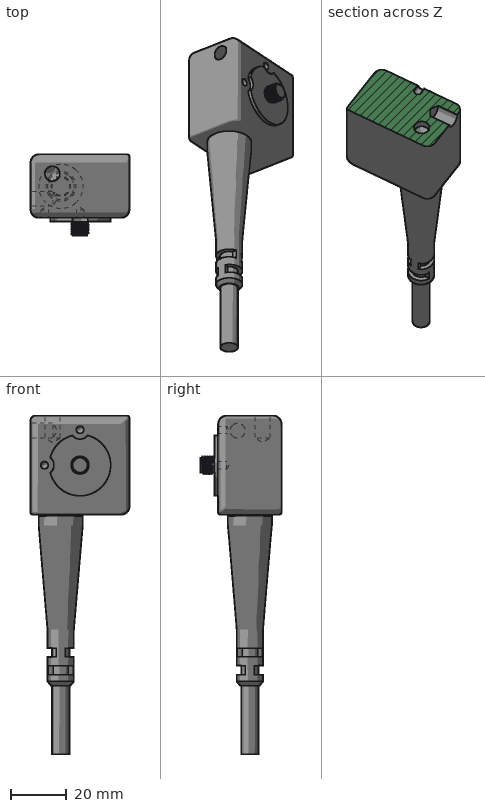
import cadquery as cq
import math


HOUSING_SIDE = 35.56
HOUSING_DEPTH = 22.86
LARGE_ROUND = 3.175
LEFT_TOP_ROUND = 1.905
SMALL_ROUND = 1.016
HALF_SIDE = HOUSING_SIDE / 2

DISC_DIAMETER = 22.0
DISC_THICKNESS = 1.27
STUD_REACH = 6.35
STUD_DIAMETER = 6.35
THREAD_ROOT_DIAMETER = 5.36
THREAD_PITCH = 25.4 / 28
THREAD_FOOT_WIDTH = 0.96 * THREAD_PITCH
THREAD_CREST_WIDTH = THREAD_PITCH / 8
THREAD_SINK = 0.05
THREAD_START_ANGLE = 20.0

DRILL_POINT_ANGLE = 118.0
SPOT_DIAMETER = 2.64
SPOT_OFFSET = 12.7
SPOT_DEPTH = 3.0
SPOT_CENTRES = [(0, SPOT_OFFSET), (-SPOT_OFFSET, 0)]
SPOT_CLEARANCE_DIAMETER = 6.76
SIDE_HOLE_DIAMETER = 5.36
SIDE_HOLE_DEPTH = 8.0
SIDE_HOLE_INSET = 6.985
LEFT_HOLE_DROP = 5.334
TOP_HOLE_INSET = 7.874

CABLE_X = -6.92
CABLE_Y = HOUSING_DEPTH / 2
CABLE_DIAMETER = 6.35
CABLE_DROP = 85.85
PLUG_DIAMETER = 10.67
PLUG_LENGTH = 0.381
BOOT_TOP_DIAMETER = 15.88
BOOT_NECK_DIAMETER = 9.53
BOOT_LENGTH = 60.833
BOOT_COLLAR_LENGTH = 3.429
BOOT_TAPER_END = 40.767
BOOT_END_BEVEL_HEIGHT = 1.524
BOOT_END_BEVEL_WIDTH = 1.27
SLOT_HEIGHT = 3.175
UPPER_SLOT_TOP = 47.371
SLOT_SPACING = 6.35
BRIDGE_WIDTH = 3.175


def edge_where(x=None, y=None, z=None):
    """Selector for the edges centred on every plane that is given."""
    tolerance = 0.01
    middle = (x, y, z)
    low = [-HOUSING_SIDE if v is None else v - tolerance for v in middle]
    high = [HOUSING_SIDE if v is None else v + tolerance for v in middle]
    return cq.selectors.BoxSelector(low, high)


def rounded_block():
    left, right = -HALF_SIDE, HALF_SIDE
    bottom, top = -HALF_SIDE, HALF_SIDE
    front, back = 0, HOUSING_DEPTH
    block = cq.Workplane("XY").box(HOUSING_SIDE, HOUSING_DEPTH, HOUSING_SIDE)
    block = block.translate((0, HOUSING_DEPTH / 2, 0))
    large_edges = (
        edge_where(x=left, y=front)
        + edge_where(x=left, y=back)
        + edge_where(x=right, y=front)
        + edge_where(y=front, z=top)
        + edge_where(y=back, z=top)
        + edge_where(x=right, z=bottom)
    )
    block = block.edges(large_edges).fillet(LARGE_ROUND)
    block = block.edges(edge_where(x=left, z=top)).fillet(LEFT_TOP_ROUND)
    small_edges = edge_where(x=right, z=top) + edge_where(x=right, y=back)
    return block.edges(small_edges).fillet(SMALL_ROUND)


def drill(radius, depth):
    """Drilled hole along +Z from the origin, with a conical end below the full-width depth."""
    point = radius / math.tan(math.radians(DRILL_POINT_ANGLE / 2))
    outline = [(0, 0), (radius, 0), (radius, depth), (0, depth + point)]
    return cq.Workplane("XZ").polyline(outline).close().revolve(360, (0, 0), (0, 1))


def side_holes():
    tool = drill(SIDE_HOLE_DIAMETER / 2, SIDE_HOLE_DEPTH)
    left_hole = tool.rotate((0, 0, 0), (0, 1, 0), 90).translate(
        (-HALF_SIDE, SIDE_HOLE_INSET, HALF_SIDE - LEFT_HOLE_DROP)
    )
    top_hole = tool.rotate((0, 0, 0), (1, 0, 0), 180).translate(
        (-HALF_SIDE + TOP_HOLE_INSET, HOUSING_DEPTH - SIDE_HOLE_INSET, HALF_SIDE)
    )
    return left_hole.union(top_hole)


def spot_holes():
    tool = drill(SPOT_DIAMETER / 2, SPOT_DEPTH).rotate((0, 0, 0), (1, 0, 0), -90)
    holes = cq.Workplane("XY")
    for x, z in SPOT_CENTRES:
        holes = holes.union(tool.translate((x, 0, z)))
    return holes


def front_disc():
    """Disc relieved around each spot hole."""
    disc = cq.Workplane("XZ").circle(DISC_DIAMETER / 2).extrude(DISC_THICKNESS)
    relief = (
        cq.Workplane("XZ")
        .pushPoints(SPOT_CENTRES)
        .circle(SPOT_CLEARANCE_DIAMETER / 2)
        .extrude(DISC_THICKNESS)
    )
    return disc.cut(relief)


def threaded_stud():
    """Stud along -Y: a plain core with a helical ridge wound round it."""
    crest = STUD_DIAMETER / 2
    root = THREAD_ROOT_DIAMETER / 2
    length = STUD_REACH - DISC_THICKNESS
    core = cq.Workplane("XY").circle(root).extrude(length)
    foot = root - THREAD_SINK
    ridge_outline = [
        (foot, -THREAD_FOOT_WIDTH / 2),
        (crest, -THREAD_CREST_WIDTH / 2),
        (crest, THREAD_CREST_WIDTH / 2),
        (foot, THREAD_FOOT_WIDTH / 2),
    ]
    helix = cq.Wire.makeHelix(THREAD_PITCH, length - THREAD_PITCH, root)
    ridge = (
        cq.Workplane("XZ")
        .polyline(ridge_outline)
        .close()
        .sweep(cq.Workplane(obj=helix), isFrenet=True)
        .translate((0, 0, THREAD_PITCH / 2))
        .rotate((0, 0, 0), (0, 0, 1), THREAD_START_ANGLE)
    )
    stud = core.union(ridge)
    return stud.rotate((0, 0, 0), (1, 0, 0), 90).translate((0, -DISC_THICKNESS, 0))


def make_housing():
    body = rounded_block().cut(side_holes()).cut(spot_holes())
    return body.union(front_disc()).union(threaded_stud())


def slot_windows():
    """Two opposite windows on the cable axis, parted by a web; the slot top is at Z = 0."""
    ring = (
        cq.Workplane("XY")
        .circle(BOOT_TOP_DIAMETER / 2)
        .circle(CABLE_DIAMETER / 2)
        .extrude(-SLOT_HEIGHT)
    )
    web = cq.Workplane("XY").rect(BRIDGE_WIDTH, 2 * BOOT_TOP_DIAMETER).extrude(-SLOT_HEIGHT)
    return ring.cut(web)


def make_cable():
    """Cable and boot, built with the boot top at the origin and then moved under the housing."""
    neck = BOOT_NECK_DIAMETER / 2
    shoulder = BOOT_TOP_DIAMETER / 2
    cable = CABLE_DIAMETER / 2
    plug = PLUG_DIAMETER / 2
    cable_end = PLUG_LENGTH - CABLE_DROP
    outline = [
        (0, PLUG_LENGTH),
        (plug, PLUG_LENGTH),
        (plug, 0),
        (shoulder, 0),
        (shoulder, -BOOT_COLLAR_LENGTH),
        (neck, -BOOT_TAPER_END),
        (neck, -BOOT_LENGTH + BOOT_END_BEVEL_HEIGHT),
        (neck - BOOT_END_BEVEL_WIDTH, -BOOT_LENGTH),
        (cable, -BOOT_LENGTH),
        (cable, cable_end),
        (0, cable_end),
    ]
    body = cq.Workplane("XZ").polyline(outline).close().revolve(360, (0, 0), (0, 1))
    for level in range(2):
        windows = slot_windows().rotate((0, 0, 0), (0, 0, 1), 90 * level)
        body = body.cut(windows.translate((0, 0, -UPPER_SLOT_TOP - level * SLOT_SPACING)))
    return body.translate((CABLE_X, CABLE_Y, -HALF_SIDE - PLUG_LENGTH))


housing = make_housing()
cable = make_cable()
result = cq.Compound.makeCompound([housing.val(), cable.val()])